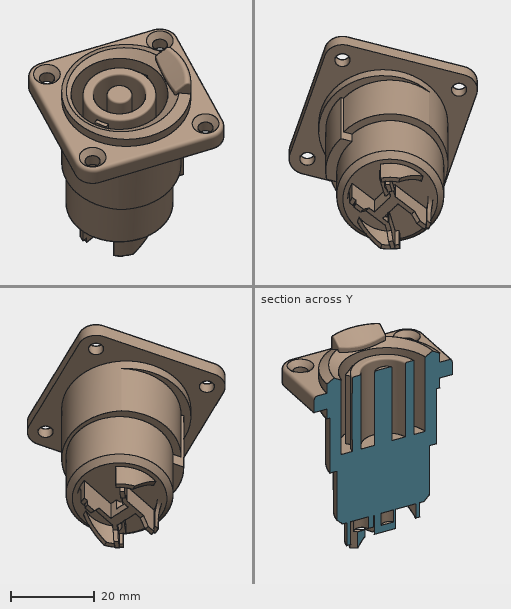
import cadquery as cq
import math

flange_size = 38.0
flange_thickness = 4.5
flange_corner_radius = 4.4
flange_edge_radius = 1.0
screw_spacing = flange_size - 2 * flange_corner_radius
screw_hole_dia = 3.6
countersink_dia = 6.4
countersink_angle = 90.0

socket_y = -1.75

collar_radius = 15.5
collar_bottom_z = -2.7
collar_shoulder_z = 7.0
rim_slope = math.tan(math.radians(30))
crown_height = 2.2
crown_z = collar_shoulder_z + crown_height
barrel_radius = 14.74
barrel_bottom_z = -17.9
rear_block_width = 12.0
rear_block_radius = 13.8
rear_block_bottom_z = -21.2

sleeve_radius = 12.85
sleeve_bottom_z = -32.9
sleeve_chamfer = 1.5

cup_radius = 11.6
cup_floor_z = -13.5
ring_outer_radius = 8.75
ring_inner_radius = 6.25
pin_radius = 3.0
contact_top_z = collar_shoulder_z
contact_edge_radius = 0.5
key_axis_angle = 130.0
key_reach = 9.7
key_top_z = 5.4
wide_key_width = 5.0
narrow_key_width = 3.1

latch_width = 12.9
latch_front_y = 10.1
latch_top_z = 11.08
latch_slope_angle = 35.0
latch_crest_radius = 1.0
latch_edge_radius = 0.4

guard_outer_radius = 10.2
guard_inner_radius = 9.05
guard_bottom_z = -39.2
blade_web_z = -38.2
blade_tip_z = -40.65
blade_thickness = 1.1
straight_blade_angle = -65.0
straight_blade_face = -3.83
straight_blade_inner_end = -2.0
straight_blade_web_end = 4.4
straight_blade_tip_start = 6.14
angled_blade_angle = 149.0
angled_blade_face = 2.17
angled_blade_inner_end = 3.0
angled_blade_web_end = 5.35
angled_blade_tip_start = 6.84
bead_thickness = 1.57
bead_fillet_radius = 2.3
wall_start_offset = 0.18
wall_cut_top_y = -5.7
wire_window_bottom_z = -36.1
wire_groove_radius = 2.1
groove_wall = 0.6
side_groove_position = 5.8
bridge_face = 0.06
bridge_groove_position = 1.2

full_turn = 360
half_turn = full_turn / 2

overlap = 0.5
guard_top_z = sleeve_bottom_z + overlap


def on_socket(shape):
    """Move a shape from the origin to the socket axis."""
    return shape.translate((0, socket_y, 0))


def turned(shape, angle):
    """Turn a shape about Z."""
    return shape.rotate((0, 0, 0), (0, 0, 1), angle)


def cylinder(radius, bottom_z, top_z):
    return cq.Workplane("XY").workplane(offset=bottom_z).circle(radius).extrude(top_z - bottom_z)


def box(x_range, y_range, z_range):
    size = [high - low for low, high in (x_range, y_range, z_range)]
    corner = (x_range[0], y_range[0], z_range[0])
    return cq.Workplane("XY").box(*size, centered=False).translate(corner)


def revolved(points):
    """Revolve a closed (radius, z) outline about Z."""
    return cq.Workplane("XZ").polyline(points).close().revolve(full_turn, (0, 0, 0), (0, 1, 0))


def flange():
    plate = (
        cq.Workplane("XY")
        .rect(flange_size, flange_size)
        .extrude(flange_thickness)
        .edges("|Z")
        .fillet(flange_corner_radius)
        .faces(">Z")
        .edges()
        .fillet(flange_edge_radius)
    )
    return (
        plate.faces(">Z")
        .workplane(origin=(0, 0, flange_thickness))
        .rect(screw_spacing, screw_spacing, forConstruction=True)
        .vertices()
        .cskHole(screw_hole_dia, countersink_dia, countersink_angle)
    )


def collar():
    """Collar whose conical top is cut off-centre by the cup, giving a sloping rim."""
    return revolved(
        [
            (0, collar_bottom_z),
            (collar_radius, collar_bottom_z),
            (collar_radius, collar_shoulder_z),
            (collar_radius - crown_height / rim_slope, crown_z),
            (0, crown_z),
        ]
    )


def barrel():
    """Overlap of the collar cylinder and a smaller one on the socket axis, plus a rear block."""
    body = cylinder(collar_radius, barrel_bottom_z, collar_bottom_z + overlap)
    offset_body = on_socket(cylinder(barrel_radius, barrel_bottom_z, collar_bottom_z + overlap))
    body = body.intersect(offset_body)
    half_width = rear_block_width / 2
    block = cylinder(rear_block_radius, rear_block_bottom_z, collar_bottom_z + overlap).intersect(
        box((-half_width, half_width), (0, collar_radius), (rear_block_bottom_z, 0))
    )
    return body.union(block)


def sleeve():
    body = cylinder(sleeve_radius, sleeve_bottom_z, barrel_bottom_z + overlap)
    body = body.faces("<Z").edges().chamfer(sleeve_chamfer)
    return on_socket(body)


def cup_cut():
    """Cup bore with a conical mouth."""
    mouth_radius = cup_radius + crown_height / rim_slope
    return on_socket(
        revolved(
            [
                (0, cup_floor_z),
                (cup_radius, cup_floor_z),
                (cup_radius, collar_shoulder_z),
                (mouth_radius, crown_z),
                (0, crown_z),
            ]
        )
    )


def key(angle, width):
    """Locking key on the outside of the contact ring."""
    bar = box((ring_inner_radius + overlap, key_reach), (-width / 2, width / 2), (cup_floor_z, key_top_z))
    return turned(bar, angle)


def contacts():
    base_z = cup_floor_z - overlap
    ring = cylinder(ring_outer_radius, base_z, contact_top_z).cut(
        cylinder(ring_inner_radius, base_z, contact_top_z)
    )
    pin = cylinder(pin_radius, base_z, contact_top_z)
    ring = ring.faces(">Z").edges().fillet(contact_edge_radius)
    pin = pin.faces(">Z").edges().fillet(contact_edge_radius)
    ring = ring.union(key(key_axis_angle, wide_key_width))
    ring = ring.union(key(key_axis_angle + half_turn, narrow_key_width))
    return on_socket(ring.union(pin))


def latch():
    """Thumb latch: slice of a ring with a funnel-shaped top and a rounded crest."""
    slope = math.radians(latch_slope_angle)
    crest_r = collar_radius - latch_crest_radius
    crest_z = latch_top_z - latch_crest_radius
    funnel_r = crest_r - latch_crest_radius * math.sin(slope)
    funnel_z = crest_z + latch_crest_radius * math.cos(slope)
    inner_r = latch_front_y - overlap
    inner_z = funnel_z - (funnel_r - inner_r) * math.tan(slope)
    base_z = collar_shoulder_z - overlap
    ring = (
        cq.Workplane("XZ")
        .moveTo(inner_r, base_z)
        .lineTo(collar_radius, base_z)
        .lineTo(collar_radius, crest_z)
        .threePointArc((crest_r, latch_top_z), (funnel_r, funnel_z))
        .lineTo(inner_r, inner_z)
        .close()
        .revolve(full_turn, (0, 0, 0), (0, 1, 0))
    )
    half_width = latch_width / 2
    body = ring.intersect(
        box((-half_width, half_width), (latch_front_y, collar_radius), (base_z, latch_top_z + overlap))
    )
    upper_edges = cq.selectors.BoxSelector(
        (-flange_size, 0, collar_shoulder_z + overlap), (flange_size, crest_r - overlap, flange_size)
    )
    return body.edges(upper_edges).fillet(latch_edge_radius)


def blade(y_range, inner_end, web_end, tip_start):
    """Upright blade with a tapered foot that ends on the inside of the guard wall."""
    outline = (
        cq.Workplane("XZ", origin=(0, y_range[1], 0))
        .polyline(
            [
                (inner_end, guard_top_z),
                (guard_outer_radius, guard_top_z),
                (guard_outer_radius, blade_tip_z),
                (tip_start, blade_tip_z),
                (web_end, blade_web_z),
                (inner_end, blade_web_z),
            ]
        )
        .close()
    )
    plate = outline.extrude(y_range[1] - y_range[0])
    return plate.intersect(cylinder(guard_inner_radius, blade_tip_z, guard_top_z))


def guard_ring():
    return cylinder(guard_outer_radius, guard_bottom_z, guard_top_z).cut(
        cylinder(guard_inner_radius, guard_bottom_z, guard_top_z)
    )


def straight_guard():
    """Blade with a bead along its outer end; a concave fillet joins the bead to the sleeve."""
    plate = blade(
        (straight_blade_face, straight_blade_face + blade_thickness),
        straight_blade_inner_end,
        straight_blade_web_end,
        straight_blade_tip_start,
    )
    far = guard_outer_radius
    bead_top_y = straight_blade_face + blade_thickness
    bead_face_y = bead_top_y - bead_thickness
    fillet_y = bead_face_y - bead_fillet_radius
    fillet_z = sleeve_bottom_z - bead_fillet_radius
    strip = box((0, far), (bead_face_y, bead_top_y), (guard_bottom_z, guard_top_z))
    corner = box((0, far), (fillet_y, bead_face_y), (fillet_z, sleeve_bottom_z))
    hollow = cq.Workplane("YZ").center(fillet_y, fillet_z).circle(bead_fillet_radius).extrude(far)
    bead = strip.union(corner.cut(hollow)).intersect(guard_ring())
    return turned(plate.union(bead), straight_blade_angle)


def angled_guard():
    """Plain blade set along the start of the guard wall."""
    plate = blade(
        (angled_blade_face - blade_thickness, angled_blade_face),
        angled_blade_inner_end,
        angled_blade_web_end,
        angled_blade_tip_start,
    )
    return turned(plate, angled_blade_angle)


def wire_groove(x, y):
    """Round groove from the sleeve down to a ledge, to be cut from a guard."""
    return cylinder(wire_groove_radius, wire_window_bottom_z, sleeve_bottom_z).translate((x, y, 0))


def side_groove():
    return turned(wire_groove(side_groove_position, angled_blade_face), angled_blade_angle)


def side_groove_backing():
    """Block behind one angled blade that leaves a wall around its groove."""
    reach = wire_groove_radius + groove_wall
    block = box(
        (side_groove_position - reach, side_groove_position + reach),
        (angled_blade_face - reach, angled_blade_face),
        (wire_window_bottom_z, guard_top_z),
    ).intersect(cylinder(guard_inner_radius, wire_window_bottom_z, guard_top_z))
    return turned(block, angled_blade_angle)


def bridge_groove():
    return turned(wire_groove(bridge_face, bridge_groove_position), straight_blade_angle)


def bridge():
    """Block that joins the two straight blades across the socket axis."""
    thickness = wire_groove_radius + groove_wall
    half_width = abs(straight_blade_face) - blade_thickness / 2
    block = box(
        (bridge_face - thickness, bridge_face),
        (-half_width, half_width),
        (blade_web_z, guard_top_z),
    )
    return turned(block, straight_blade_angle)


def guard_wall():
    """Curved wall on the -X side that starts along the angled blade and ends in a 45 degree cut."""
    far = guard_outer_radius
    start = box((0, far), (wall_start_offset, far), (guard_bottom_z, guard_top_z))
    start = turned(start, angled_blade_angle)
    height = guard_top_z - guard_bottom_z
    cut_top_y = wall_cut_top_y - (guard_top_z - sleeve_bottom_z)
    side = (
        cq.Workplane("YZ")
        .polyline(
            [
                (far, guard_bottom_z),
                (far, guard_top_z),
                (cut_top_y, guard_top_z),
                (cut_top_y + height, guard_bottom_z),
            ]
        )
        .close()
        .extrude(-far)
    )
    return guard_ring().intersect(start).intersect(side)


def terminal_guards():
    half = straight_guard().union(angled_guard()).union(guard_wall())
    guards = half.union(turned(half, half_turn)).union(side_groove_backing()).union(bridge())
    return on_socket(guards.cut(side_groove()).cut(bridge_groove()))


result = (
    flange()
    .union(collar())
    .union(barrel())
    .union(sleeve())
    .cut(cup_cut())
    .union(contacts())
    .union(latch())
    .union(terminal_guards())
)